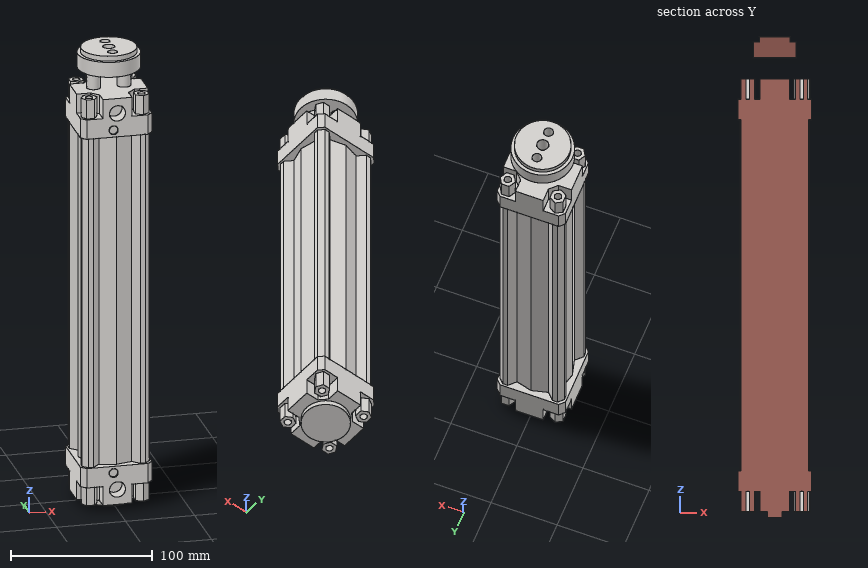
import cadquery as cq

overall_height = 339.0
spigot_height = 4.0
cover_height = 28.8
notch_depth = 14.2
tube_length = 247.5
rod_exposed_length = 15.0
flange_height = 11.2

top_cover_top = spigot_height + 2 * cover_height + tube_length
flange_bottom = top_cover_top + rod_exposed_length
flange_top = flange_bottom + flange_height

cover_width = 52.0
cover_corner_chamfer = 3.7
arm_half_width = 10.5
notch_corner_offset = 16.0
boss_offset = 19.0
boss_corner_diameter = 11.5
boss_hole_diameter = 5.0
boss_hole_depth = notch_depth
boss_hole_tip_depth = 1.7
spigot_diameter = 35.0
port_diameter = 11.5
port_depth = 10.2
port_inset = 11.2
recess_diameter = 6.5
recess_depth = 1.5
recess_inset = 23.7
recess_offset = -2.7

tube_half_width = 24.5
tube_corner_chamfer = 3.7
tube_corner_flat = tube_half_width - tube_corner_chamfer
tube_land_end = 17.0
groove_position = 12.0
groove_face = 19.3
ridge_face = 22.5

rod_diameter = 10.0
rod_spacing = 22.0
flange_diameter = 45.0
step_diameter = 40.0
center_hole_diameter = 8.5
side_hole_diameter = 6.8
side_hole_spacing = 22.5

QUARTER_TURNS = (0, 90, 180, 270)


def corner_notch():
    """Void around one corner of a cover, open outwards, with a hexagonal boss left standing in it."""
    reach = cover_width
    notch = (
        cq.Workplane("XY", origin=(0, 0, cover_height - notch_depth))
        .moveTo(arm_half_width, reach)
        .lineTo(arm_half_width, notch_corner_offset)
        .lineTo(notch_corner_offset, arm_half_width)
        .lineTo(reach, arm_half_width)
        .lineTo(reach, reach)
        .close()
        .extrude(notch_depth)
    )
    boss = (
        cq.Workplane("XY", origin=(boss_offset, boss_offset, cover_height - notch_depth))
        .polygon(6, boss_corner_diameter)
        .extrude(notch_depth)
    )
    return notch.cut(boss)


def boss_hole():
    """Blind hole down the middle of one boss, with a conical drill tip at its bottom."""
    radius = boss_hole_diameter / 2
    profile = (
        cq.Workplane("XZ", origin=(boss_offset, boss_offset, cover_height))
        .lineTo(radius, 0)
        .lineTo(radius, -boss_hole_depth)
        .lineTo(0, -boss_hole_depth - boss_hole_tip_depth)
        .close()
    )
    return profile.revolve(360, (0, 0, 0), (0, 1, 0))


def make_cover():
    """Cover with its inner face on Z = 0 and its notched outer face on top."""
    cover = cq.Workplane("XY").rect(cover_width, cover_width).extrude(cover_height)
    cover = cover.edges("|Z").chamfer(cover_corner_chamfer)
    notch = corner_notch()
    hole = boss_hole()
    for angle in QUARTER_TURNS:
        cover = cover.cut(notch.rotate((0, 0, 0), (0, 0, 1), angle))
        cover = cover.cut(hole.rotate((0, 0, 0), (0, 0, 1), angle))
    front = cq.Workplane("XZ", origin=(0, -cover_width / 2, 0))
    port = front.center(0, cover_height - port_inset).circle(port_diameter / 2).extrude(-port_depth)
    round_recess = (
        front.center(recess_offset, cover_height - recess_inset)
        .circle(recess_diameter / 2)
        .extrude(-recess_depth)
    )
    return cover.cut(port).cut(round_recess)


def make_tube():
    """Square tube with cut corners and a W-shaped groove with a central ridge along each side."""
    side = [
        (-tube_corner_flat, -tube_half_width),
        (-tube_land_end, -tube_half_width),
        (-groove_position, -groove_face),
        (0, -ridge_face),
        (groove_position, -groove_face),
        (tube_land_end, -tube_half_width),
        (tube_corner_flat, -tube_half_width),
    ]
    outline = list(side)
    for _ in QUARTER_TURNS[1:]:
        side = [(-y, x) for x, y in side]
        outline += side
    return cq.Workplane("XY").polyline(outline).close().extrude(tube_length)


def make_housing():
    """Tube, the two covers facing away from each other, and the round spigot at the bottom."""
    cover = make_cover()
    top_cover = cover.translate((0, 0, top_cover_top - cover_height))
    bottom_cover = cover.mirror("XY").translate((0, 0, spigot_height + cover_height))
    tube = make_tube().translate((0, 0, spigot_height + cover_height))
    spigot = cq.Workplane("XY").circle(spigot_diameter / 2).extrude(spigot_height)
    return tube.union(top_cover).union(bottom_cover).union(spigot)


def make_plunger():
    """Two rods standing on the top cover and carrying the stepped end flange."""
    rods = (
        cq.Workplane("XY", origin=(0, 0, top_cover_top))
        .pushPoints([(-rod_spacing / 2, 0), (rod_spacing / 2, 0)])
        .circle(rod_diameter / 2)
        .extrude(rod_exposed_length)
    )
    flange = (
        cq.Workplane("XY", origin=(0, 0, flange_bottom))
        .circle(flange_diameter / 2)
        .extrude(flange_height)
    )
    step = (
        cq.Workplane("XY", origin=(0, 0, flange_top))
        .circle(step_diameter / 2)
        .extrude(overall_height - flange_top)
    )
    top = cq.Workplane("XY", origin=(0, 0, overall_height))
    hole_depth = overall_height - flange_bottom
    center_hole = top.circle(center_hole_diameter / 2).extrude(-hole_depth)
    side_holes = (
        top.pushPoints([(0, -side_hole_spacing / 2), (0, side_hole_spacing / 2)])
        .circle(side_hole_diameter / 2)
        .extrude(-hole_depth)
    )
    return flange.union(step).union(rods).cut(center_hole).cut(side_holes)


housing = make_housing()
plunger = make_plunger()
result = cq.Compound.makeCompound([housing.val(), plunger.val()])